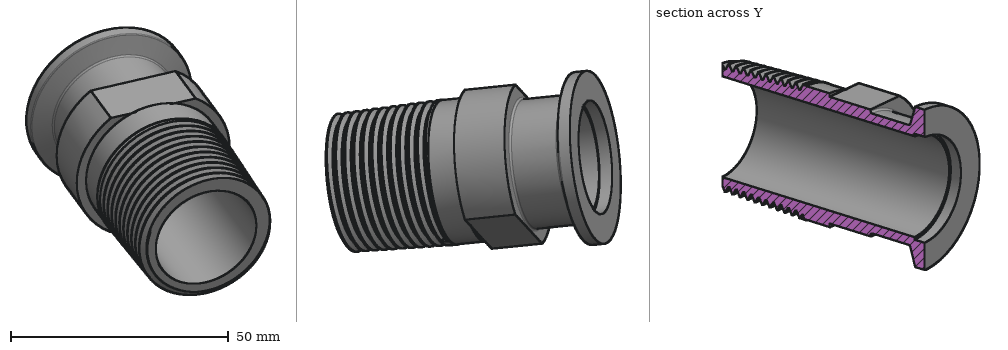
import cadquery as cq
import math

length = 60.0
bore_diameter = 25.0
recess_diameter = 26.3
recess_depth = 3.0

flange_diameter = 40.0
flange_rim_width = 2.95
flange_edge_radius = 0.3
flange_back_end = 4.5
neck_diameter = 30.0
neck_fillet_radius = 0.5

wrench_start = 16.0
wrench_length = 12.1
wrench_diameter = 38.05
across_flats = 31.7

collar_diameter = 33.4
collar_end = 35.05
eleven_turns_length = 24.3
thread_pitch = eleven_turns_length / 11
thread_depth = 1.5
crest_radius_start = 16.8
thread_taper = 1 / 32
thread_half_angle = 30.0
root_flat = 0.2
groove_start = 36.0
runout_start = 35.75
runout_end = 36.7
runout_radius = 14.75

wrench_end = wrench_start + wrench_length
neck_radius = neck_diameter / 2
collar_radius = collar_diameter / 2


def crest_radius(x):
    return crest_radius_start - thread_taper * (x - collar_end)


def root_radius(x):
    return crest_radius(x) - thread_depth


def circle_at(x, radius):
    """Select the edge around the X axis at x that lies within the given radius."""
    margin = 0.05
    reach = radius + margin
    return cq.selectors.BoxSelector(
        (x - margin, -reach, -reach), (x + margin, reach, reach), boundingbox=True,
    )


def make_blank():
    """Revolve the body as far as the thread runout, then round the flange edge and the two neck corners."""
    blank = (
        cq.Workplane("XY")
        .moveTo(0, 0)
        .lineTo(0, flange_diameter / 2)
        .lineTo(flange_rim_width, flange_diameter / 2)
        .lineTo(flange_back_end, neck_radius)
        .lineTo(wrench_start, neck_radius)
        .lineTo(wrench_start, wrench_diameter / 2)
        .lineTo(wrench_end, wrench_diameter / 2)
        .lineTo(wrench_end, collar_radius)
        .lineTo(runout_start, collar_radius)
        .lineTo(runout_end, runout_radius)
        .lineTo(runout_end, 0)
        .close()
        .revolve(360, (0, 0, 0), (1, 0, 0))
    )
    for x in (flange_back_end, wrench_start):
        blank = blank.edges(circle_at(x, neck_radius)).fillet(neck_fillet_radius)
    rim = circle_at(flange_rim_width, flange_diameter / 2)
    return blank.edges(rim).fillet(flange_edge_radius)


def cut_flats(body):
    """Trim the wrench section to the flats, leaving the collar beside it whole."""
    waste_height = wrench_diameter
    for side in (1, -1):
        waste = cq.Workplane("XY").box(wrench_length, 2 * wrench_diameter, waste_height)
        waste = waste.translate((
            wrench_start + wrench_length / 2, 0, side * (across_flats + waste_height) / 2,
        ))
        body = body.cut(waste)
    return body


def make_thread():
    """Cut a right-hand V groove into a tapered plug and keep the part beyond the collar."""
    overshoot = 0.2
    plug_start = groove_start - 2 * thread_pitch
    plug_end = length + 3 * thread_pitch
    plug = cq.Workplane(obj=cq.Solid.makeCone(
        crest_radius(plug_start), crest_radius(plug_end), plug_end - plug_start,
        pnt=cq.Vector(plug_start, 0, 0), dir=cq.Vector(1, 0, 0),
    ))
    start_radius = root_radius(groove_start)
    mouth_radius = start_radius + thread_depth + overshoot
    wall_height = 0.5
    wall_radius = mouth_radius + wall_height
    root_half = root_flat / 2
    mouth_half = root_half + (mouth_radius - start_radius) * math.tan(math.radians(thread_half_angle))
    helix = cq.Wire.makeHelix(
        thread_pitch, length + thread_pitch - groove_start, start_radius,
        angle=-math.degrees(math.atan(thread_taper)),
    )
    groove = (
        cq.Workplane("XZ")
        .polyline([
            (start_radius, -root_half),
            (mouth_radius, -mouth_half),
            (wall_radius, -mouth_half),
            (wall_radius, mouth_half),
            (mouth_radius, mouth_half),
            (start_radius, root_half),
        ])
        .close()
        .sweep(cq.Workplane(obj=helix), isFrenet=True)
        .rotate((0, 0, 0), (0, 1, 0), 90)
        .translate((groove_start, 0, 0))
    )
    kept = cq.Workplane("YZ", origin=(collar_end, 0, 0)).circle(flange_diameter).extrude(length - collar_end)
    return plug.cut(groove).intersect(kept)


def cut_bore(body):
    """Drill the through bore and the shallow centring recess in the flange face."""
    bore = cq.Workplane("YZ").circle(bore_diameter / 2).extrude(length)
    recess = cq.Workplane("YZ").circle(recess_diameter / 2).extrude(recess_depth)
    return body.cut(bore).cut(recess)


result = cut_bore(cut_flats(make_blank()).union(make_thread()))